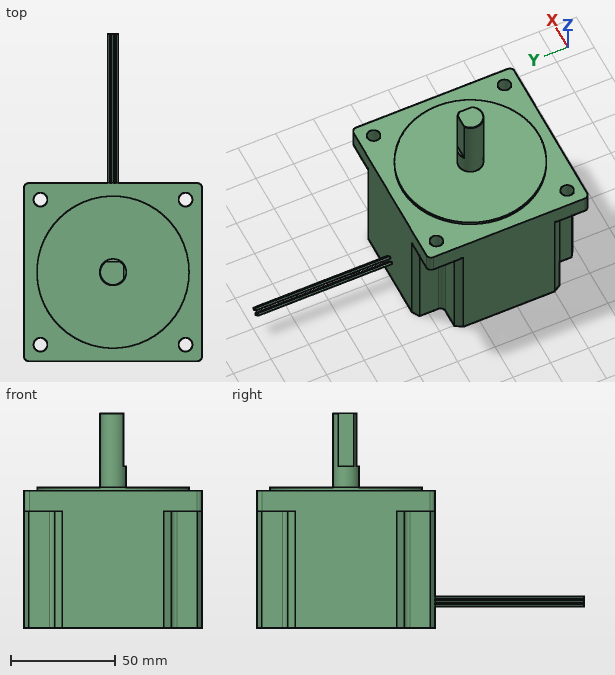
import cadquery as cq

flange_side = 85.6
total_height = 103.12

body_height = 56.0
notch_side = 14.8
notch_fillet = 2.5
bevel_length = 3.7
bevel_depth = 2.3

flange_thickness = 10.0
flange_corner_radius = 2.5
hole_spacing = 69.6
hole_diameter = 6.5

pilot_diameter = 73.0
pilot_height = 1.5

shaft_diameter = 12.7
shaft_tip_chamfer = 0.25
flat_offset = 5.1
flat_length = 25.4

wire_count = 4
wire_diameter = 1.2
wire_length = 71.5
wire_embed = 1.0
wire_height = 12.7
wire_offset = 1.95

half_side = flange_side / 2
flange_top = body_height + flange_thickness
pilot_top = flange_top + pilot_height


def corner_relief():
    """Cutter for the relief at the +X +Y corner of the body."""
    wall = half_side - notch_side
    bevel_inner = half_side - bevel_depth
    bevel_outer = wall - bevel_length
    return (
        cq.Workplane("XY")
        .moveTo(wall, wall)
        .lineTo(bevel_inner, wall)
        .lineTo(half_side, bevel_outer)
        .lineTo(half_side, half_side)
        .lineTo(bevel_outer, half_side)
        .lineTo(wall, bevel_inner)
        .close()
        .extrude(body_height)
        .edges(cq.selectors.NearestToPointSelector((wall, wall, body_height / 2)))
        .fillet(notch_fillet)
    )


def body():
    block = cq.Workplane("XY").box(flange_side, flange_side, body_height, centered=(True, True, False))
    for quarter in range(4):
        block = block.cut(corner_relief().rotate((0, 0, 0), (0, 0, 1), 90 * quarter))
    return block


def flange():
    return (
        cq.Workplane("XY", origin=(0, 0, body_height))
        .rect(flange_side, flange_side)
        .extrude(flange_thickness)
        .edges("|Z")
        .fillet(flange_corner_radius)
        .faces(">Z")
        .workplane()
        .rect(hole_spacing, hole_spacing, forConstruction=True)
        .vertices()
        .hole(hole_diameter)
    )


def pilot():
    return cq.Workplane("XY", origin=(0, 0, flange_top)).circle(pilot_diameter / 2).extrude(pilot_height)


def shaft():
    round_shaft = (
        cq.Workplane("XY", origin=(0, 0, pilot_top))
        .circle(shaft_diameter / 2)
        .extrude(total_height - pilot_top)
        .faces(">Z")
        .chamfer(shaft_tip_chamfer)
    )
    flat_start = total_height - flat_length
    x_flat = cq.Workplane("XY").box(shaft_diameter, shaft_diameter, flat_length, centered=(False, True, False))
    y_flat = cq.Workplane("XY").box(shaft_diameter, shaft_diameter, flat_length, centered=(True, False, False))
    return (
        round_shaft
        .cut(x_flat.translate((flat_offset, 0, flat_start)))
        .cut(y_flat.translate((0, flat_offset, flat_start)))
    )


def wires():
    return (
        cq.Workplane("XZ", origin=(0, half_side - wire_embed, wire_height))
        .polarArray(wire_offset, 0, 360, wire_count)
        .circle(wire_diameter / 2)
        .extrude(-(wire_length + wire_embed))
    )


result = body().union(flange()).union(pilot()).union(shaft()).union(wires())